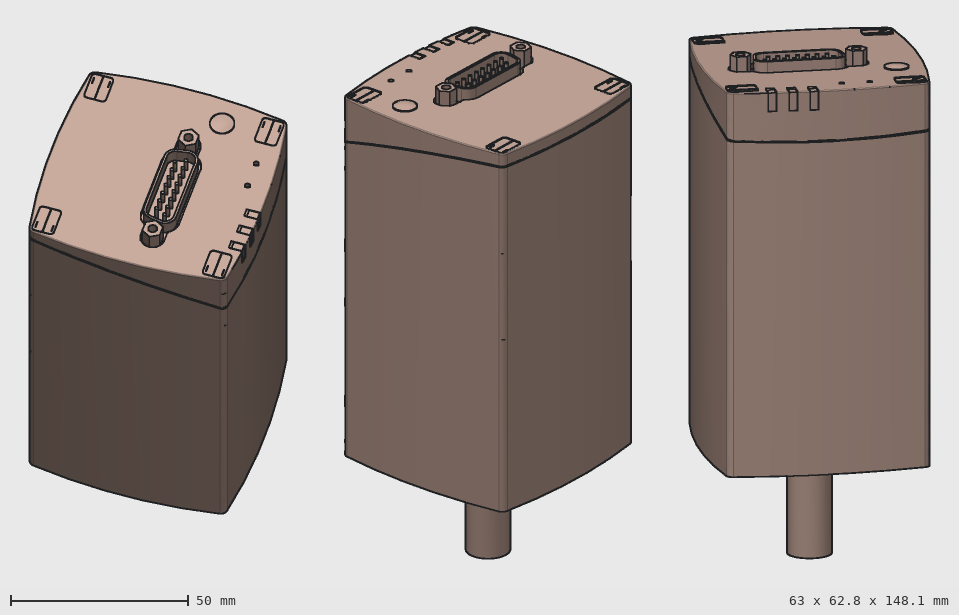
import cadquery as cq
import math

overall_height = 148.1
shaft_length = 31.5
shaft_diameter = 12.7
standoff_height = 4.1
top_z = overall_height - standoff_height

housing_width_x = 63.0
housing_width_y = 62.8
side_bow = 2.5
corner_radius = 2.0
top_edge_fillet = 0.3

groove_width = 0.3
groove_depth = 0.3
cap_depth_left = 4.0
cap_depth_middle = 7.0
cap_depth_right = 14.8

pad_width = 6.4
pad_length = 8.6
pad_radius = 1.0
pad_depth = 0.3
pad_offset_x = 25.2
pad_offset_y = 24.1
score_width = 0.1
score_depth = 0.1
side_score_length = 1.9
side_score_offset = 2.4
side_score_from_end = 2.2

button_x = 11.7
button_y = 22.7
button_diameter = 7.0
button_rim_height = 0.3
button_dome_height = 0.6

indicator_x = 25.0
indicator_ys = (12.5, 4.5)
indicator_diameter = 1.5
indicator_depth = 1.5

notch_count = 3
notch_first_y = -4.6
notch_pitch = 5.9
notch_width = 2.4
notch_length = 4.1
notch_drop = 5.6
notch_depth = 0.3
notch_ramp = 0.7

connector_x = 5.0
connector_y = -4.1
shell_width = 9.6
shell_mean_length = 25.8
shell_end_angle = 10.0
shell_corner_radius = 3.3
shell_wall = 0.7
shell_height = 3.0
opening_gap = 0.9
opening_depth = 1.5
tab_diameter = 7.0
standoff_spacing = 33.2
standoff_flats = 5.2
standoff_bore = 2.5
standoff_drill_angle = 118.0
standoff_bore_depth = 3.7
pin_diameter = 1.0
pin_pitch = 2.8
pin_row_spacing = 2.8
pin_recess = 0.3
short_row_pins = 7
long_row_pins = 8

connector_floor_z = top_z - opening_depth
overlap = 1.5


def housing_prism(inset, base_z, height):
    """Four-sided prism with outward-bowed sides and rounded corners, shrunk by inset."""
    mid_x = housing_width_x / 2 - inset
    mid_y = housing_width_y / 2 - inset
    corner_x = mid_x - side_bow
    corner_y = mid_y - side_bow
    return (
        cq.Workplane("XY", origin=(0, 0, base_z))
        .moveTo(-corner_x, -corner_y)
        .threePointArc((0, -mid_y), (corner_x, -corner_y))
        .threePointArc((mid_x, 0), (corner_x, corner_y))
        .threePointArc((0, mid_y), (-corner_x, corner_y))
        .threePointArc((-mid_x, 0), (-corner_x, -corner_y))
        .close()
        .extrude(height)
        .edges("|Z")
        .fillet(corner_radius - inset)
    )


def parting_groove():
    """Thin ring that follows the curved joint between cap and housing."""
    half_x = housing_width_x / 2
    left_z = top_z - cap_depth_left
    middle_z = top_z - cap_depth_middle
    right_z = top_z - cap_depth_right
    sheet = (
        cq.Workplane("XZ")
        .moveTo(-half_x, left_z)
        .threePointArc((0, middle_z), (half_x, right_z))
        .lineTo(half_x, right_z - groove_width)
        .threePointArc((0, middle_z - groove_width), (-half_x, left_z - groove_width))
        .close()
        .extrude(housing_width_y / 2, both=True)
    )
    core = housing_prism(groove_depth, shaft_length, top_z - shaft_length)
    return sheet.cut(core)


def corner_pads():
    """Pockets in the four top corners with score lines in their floors."""
    centres = [(sx * pad_offset_x, sy * pad_offset_y) for sx in (-1, 1) for sy in (-1, 1)]
    side_shift_y = pad_length / 2 - side_score_from_end
    side_centres = [
        (x + side * side_score_offset, y + math.copysign(side_shift_y, y))
        for x, y in centres
        for side in (-1, 1)
    ]
    pockets = (
        cq.Workplane("XY", origin=(0, 0, top_z - pad_depth))
        .pushPoints(centres)
        .rect(pad_width, pad_length)
        .extrude(pad_depth)
        .edges("|Z")
        .fillet(pad_radius)
    )
    score_plane = cq.Workplane("XY", origin=(0, 0, top_z - pad_depth - score_depth))
    score_height = pad_depth + score_depth
    centre_scores = score_plane.pushPoints(centres).rect(score_width, pad_length).extrude(score_height)
    side_scores = (
        score_plane.pushPoints(side_centres)
        .rect(score_width, side_score_length)
        .extrude(score_height)
    )
    return pockets.union(centre_scores).union(side_scores)


def button():
    """Low cylindrical rim topped by a spherical dome."""
    rim_radius = button_diameter / 2
    rim_z = top_z + button_rim_height
    sphere_radius = (rim_radius**2 + button_dome_height**2) / (2 * button_dome_height)
    return (
        cq.Workplane("XZ", origin=(button_x, button_y, 0))
        .moveTo(0, top_z - overlap)
        .lineTo(rim_radius, top_z - overlap)
        .lineTo(rim_radius, rim_z)
        .radiusArc((0, rim_z + button_dome_height), -sphere_radius)
        .close()
        .revolve(360, (0, 0, 0), (0, 1, 0))
    )


def indicator_holes():
    return (
        cq.Workplane("XY", origin=(0, 0, top_z - indicator_depth))
        .pushPoints([(indicator_x, y) for y in indicator_ys])
        .circle(indicator_diameter / 2)
        .extrude(indicator_depth)
    )


def edge_notches():
    """L-section notches over the bowed top edge of the +X side, each with a ramped inner end."""
    side_radius = ((housing_width_y / 2 - side_bow) ** 2 + side_bow**2) / (2 * side_bow)
    cutters = cq.Workplane("XY")
    for index in range(notch_count):
        y = notch_first_y - index * notch_pitch
        face_x = housing_width_x / 2 - side_radius + math.sqrt(side_radius**2 - y**2)
        profile = (
            cq.Workplane("XZ", origin=(face_x, y + notch_width / 2, top_z))
            .moveTo(-notch_length, 0)
            .lineTo(notch_ramp - notch_length, -notch_depth)
            .lineTo(-notch_depth, -notch_depth)
            .lineTo(-notch_depth, -notch_drop)
            .lineTo(overlap, -notch_drop)
            .lineTo(overlap, 0)
            .close()
            .extrude(notch_width)
        )
        cutters = cutters.union(profile)
    return cutters


def d_prism(growth, base_z, height):
    """Connector D outline, longer on its +X side, grown outward by growth."""
    half_width = shell_width / 2
    slant = half_width * math.tan(math.radians(shell_end_angle))
    short_half = shell_mean_length / 2 - slant
    long_half = shell_mean_length / 2 + slant
    end_shift = growth / math.cos(math.radians(shell_end_angle))
    side_shift = growth * math.tan(math.radians(shell_end_angle))
    left = -half_width - growth
    right = half_width + growth
    left_half = short_half + end_shift - side_shift
    right_half = long_half + end_shift + side_shift
    return (
        cq.Workplane("XY", origin=(connector_x, connector_y, base_z))
        .polyline([(left, -left_half), (right, -right_half), (right, right_half), (left, left_half)])
        .close()
        .extrude(height)
        .edges("|Z")
        .fillet(shell_corner_radius + growth)
    )


def connector_opening():
    """Recess in the cap around the shell, with a round-ended tab at each standoff."""
    tabs = (
        cq.Workplane("XY", origin=(connector_x, connector_y, connector_floor_z))
        .slot2D(standoff_spacing + tab_diameter, tab_diameter, 90)
        .extrude(opening_depth)
    )
    return d_prism(opening_gap, connector_floor_z, opening_depth).union(tabs)


def connector_shell():
    height = opening_depth + shell_height
    outer = d_prism(0, connector_floor_z - overlap, height + overlap)
    return outer.cut(d_prism(-shell_wall, connector_floor_z, height))


def standoffs():
    """Hexagonal posts with drilled blind bores and their corners pointing along Y."""
    corner_diameter = standoff_flats / math.cos(math.radians(30))
    bore_radius = standoff_bore / 2
    tip_depth = bore_radius / math.tan(math.radians(standoff_drill_angle / 2))
    post_height = overlap + opening_depth + standoff_height
    bore_floor = post_height - standoff_bore_depth
    post = cq.Workplane("XY").polygon(6, corner_diameter).extrude(post_height)
    bore = (
        cq.Workplane("XZ")
        .moveTo(0, post_height)
        .lineTo(bore_radius, post_height)
        .lineTo(bore_radius, bore_floor)
        .lineTo(0, bore_floor - tip_depth)
        .close()
        .revolve(360, (0, 0, 0), (0, 1, 0))
    )
    post = post.cut(bore).rotate((0, 0, 0), (0, 0, 1), 90)
    base_z = connector_floor_z - overlap
    upper = post.translate((connector_x, connector_y + standoff_spacing / 2, base_z))
    lower = post.translate((connector_x, connector_y - standoff_spacing / 2, base_z))
    return upper.union(lower)


def pin_row(count, x):
    ys = [(index - (count - 1) / 2) * pin_pitch for index in range(count)]
    return (
        cq.Workplane("XY", origin=(connector_x, connector_y, connector_floor_z - overlap))
        .pushPoints([(x, y) for y in ys])
        .circle(pin_diameter / 2)
        .extrude(overlap + opening_depth + shell_height - pin_recess)
    )


housing = housing_prism(0, shaft_length, top_z - shaft_length).faces(">Z").edges().fillet(top_edge_fillet)
shaft = cq.Workplane("XY").circle(shaft_diameter / 2).extrude(shaft_length + overlap)

result = (
    housing.cut(parting_groove())
    .cut(corner_pads())
    .cut(indicator_holes())
    .cut(edge_notches())
    .cut(connector_opening())
    .union(shaft)
    .union(button())
    .union(connector_shell())
    .union(standoffs())
    .union(pin_row(short_row_pins, -pin_row_spacing / 2))
    .union(pin_row(long_row_pins, pin_row_spacing / 2))
)